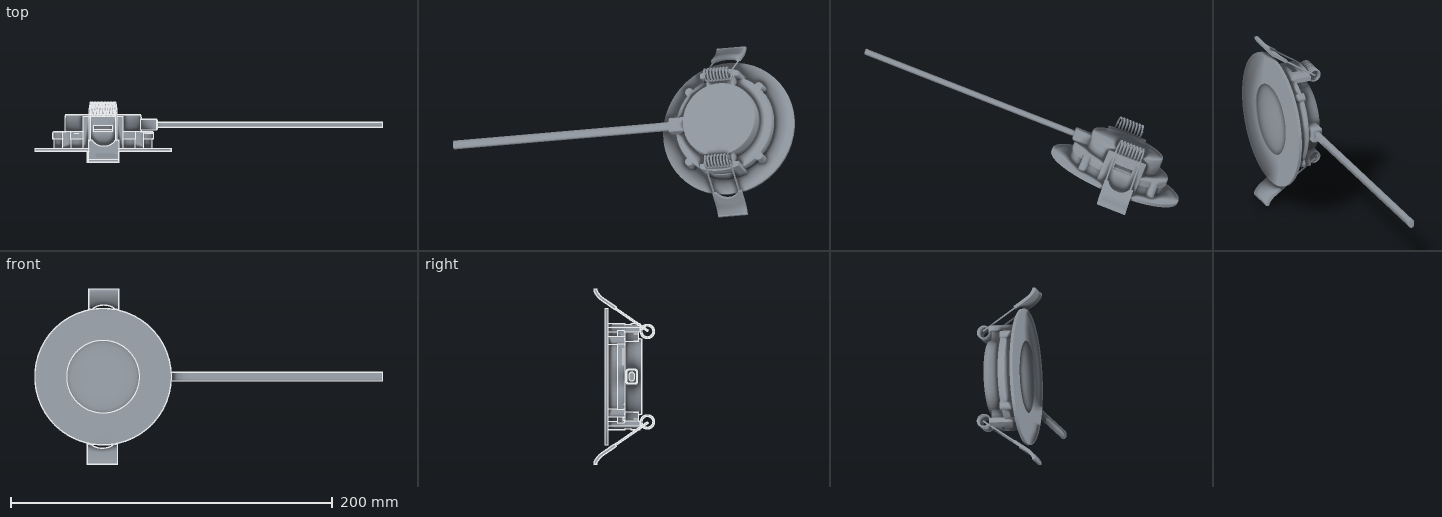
import cadquery as cq
import math


flange_diameter = 85.0
flange_thickness = 2.0
diffuser_diameter = 45.2
diffuser_recess = 1.2
diffuser_thickness = 2.2

skirt_radius = 30.5
skirt_back = 7.8
band_radius = 31.4
band_back = 12.3
band_round = 1.0
can_radius = 23.8
can_rim_radius = 23.4
can_shoulder = 21.0
can_back = 23.0

boss_radius = 2.5
boss_offset = 22.5

lug_outer_radius = 33.0
lug_inner_z = 27.7
lug_width = 24.9
lug_back = 21.8
lug_neck_width = 18.5
lug_slot_width = 12.0
lug_slot_front = 12.3
lug_slot_step = 13.6
lug_slot_back = 16.2
lug_slot_depth = 3.2
lug_slot_step_depth = 1.7
neck_groove_inner_z = 22.3
neck_groove_outer_z = 26.4
neck_groove_length = 3.0
neck_groove_depth = 0.6

cable_width = 5.6
cable_thickness = 3.2
cable_y = 16.6
total_length = 216.2
cable_end_x = total_length - flange_diameter / 2
gland_wall = 1.84
gland_round = 1.3
gland_end_chamfer = 0.6
gland_end_x = 33.7

wire_diameter = 1.0
coil_radius = 4.0
coil_y = 26.4
coil_z = 28.1
coil_turns = 8
coil_length = 16.5
arm_angle = 34.5
arm_offset = 0.5
pad_width = 18.8
pad_shift = 0.5
pad_thickness = 2.0
pad_tip_z = 54.5
pad_tip_length = 1.3
pad_bend_radius = 12.8
pad_bend_end_angle = 65
pad_tip_y = -5.8
pad_start = 24.5
pad_notch_radius = 7.8
pad_notch_depth = 4.8


def disc(radius, y_front, y_back):
    """Cylinder about the Y axis between two depths."""
    return cq.Workplane("XZ", origin=(0, y_front, 0)).circle(radius).extrude(y_front - y_back)


def box_between(x_range, y_range, z_range):
    """Axis-aligned box given by its limits along X, Y and Z."""
    corner = (x_range[0], y_range[0], z_range[0])
    size = (x_range[1] - x_range[0], y_range[1] - y_range[0], z_range[1] - z_range[0])
    return cq.Workplane("XY").box(*size, centered=False).translate(corner)


def centered_range(width):
    return (-width / 2, width / 2)


def half_turn(shape):
    """Copy turned to the opposite side of the lamp."""
    return shape.rotate((0, 0, 0), (0, 1, 0), 180)


slope = math.radians(arm_angle)
arm_direction = cq.Vector(0, -math.cos(slope), math.sin(slope))
arm_normal = cq.Vector(0, math.sin(slope), math.cos(slope))
coil_center = cq.Vector(0, coil_y, coil_z)
arm_places = centered_range(coil_length)


def arm_point(along):
    """Point on the arm line, measured along it from beside the coil axis."""
    return coil_center + arm_normal * arm_offset + arm_direction * along


def make_arm(x):
    """Straight wire from beside the coil axis into the pad."""
    length = pad_start + wire_diameter
    start = arm_point(0) + cq.Vector(x, 0, 0)
    return cq.Workplane(obj=cq.Solid.makeCylinder(wire_diameter / 2, length, start, arm_direction))


def make_lug():
    """Upper lug: a curved outer plate joined to the can by a narrower neck."""
    plate = disc(lug_outer_radius, 0, lug_back).intersect(
        box_between(centered_range(lug_width), (0, lug_back), (lug_inner_z, lug_outer_radius))
    )
    neck = box_between(centered_range(lug_neck_width), (0, can_shoulder), (0, lug_inner_z))
    return plate.union(neck)


def make_lug_cuts():
    """Stepped slot and arm recesses in the outer plate, and a run-out groove on each side of the neck."""
    slot_x = centered_range(lug_slot_width)
    deep_floor = lug_outer_radius - lug_slot_depth
    step_floor = lug_outer_radius - lug_slot_step_depth
    cuts = box_between(slot_x, (lug_slot_step, lug_slot_back), (deep_floor, lug_outer_radius))
    cuts = cuts.union(
        box_between(slot_x, (lug_slot_front, lug_slot_step), (step_floor, lug_outer_radius))
    )
    groove_radius = (neck_groove_length**2 + neck_groove_depth**2) / (2 * neck_groove_depth)
    groove_height = neck_groove_outer_z - neck_groove_inner_z
    for side in (-1, 1):
        outer_x = side * lug_neck_width / 2
        groove = (
            cq.Workplane("XY", origin=(0, 0, neck_groove_inner_z))
            .moveTo(outer_x, can_shoulder - neck_groove_length)
            .radiusArc((outer_x - side * neck_groove_depth, can_shoulder), -side * groove_radius)
            .lineTo(outer_x, can_shoulder)
            .close()
        )
        cuts = cuts.union(groove.extrude(groove_height))
    for x in arm_places:
        cuts = cuts.union(make_arm(x))
    return cuts


def make_gland():
    """Rounded sleeve around the cable where it leaves the can."""
    gland = (
        cq.Workplane("YZ", origin=(0, cable_y, 0))
        .rect(cable_thickness + 2 * gland_wall, cable_width + 2 * gland_wall)
        .extrude(gland_end_x)
    )
    return gland.edges("|X").fillet(gland_round).faces(">X").chamfer(gland_end_chamfer)


def make_cable():
    """Flat cable with round edges, starting at the can wall inside the gland."""
    return (
        cq.Workplane("YZ", origin=(can_radius, cable_y, 0))
        .slot2D(cable_width, cable_thickness, 90)
        .extrude(cable_end_x - can_radius)
    )


def make_diffuser():
    """Disc set back from the front of the flange."""
    return disc(diffuser_diameter / 2, diffuser_recess, diffuser_recess + diffuser_thickness)


def make_housing():
    """Flange, skirt, band, can, bosses, lugs and gland in one piece."""
    body = disc(flange_diameter / 2, 0, flange_thickness)
    body = body.union(disc(skirt_radius, 0, skirt_back))
    band = disc(band_radius, skirt_back, band_back).faces(">Y").edges().fillet(band_round)
    body = body.union(band)
    for x_side in (-1, 1):
        for z_side in (-1, 1):
            boss = disc(boss_radius, 0, band_back)
            body = body.union(boss.translate((x_side * boss_offset, 0, z_side * boss_offset)))

    can_profile = [
        (0, 0),
        (can_radius, 0),
        (can_radius, can_shoulder),
        (can_rim_radius, can_back),
        (0, can_back),
    ]
    can = cq.Workplane("XY").polyline(can_profile).close().revolve(360, (0, 0), (0, 1))
    body = body.union(can)

    lug = make_lug()
    lug_cuts = make_lug_cuts()
    body = body.union(lug).union(half_turn(lug)).cut(lug_cuts).cut(half_turn(lug_cuts))

    diffuser_seat = disc(diffuser_diameter / 2, 0, diffuser_recess + diffuser_thickness)
    return body.union(make_gland()).cut(make_cable()).cut(diffuser_seat)


def make_coil():
    """Helix along X whose two ends lie on the arms."""
    pitch = coil_length / coil_turns
    path = cq.Wire.makeHelix(pitch, coil_length, coil_radius)
    coil = (
        cq.Workplane("XZ", origin=(coil_radius, 0, 0))
        .circle(wire_diameter / 2)
        .sweep(cq.Workplane(obj=path), isFrenet=True)
    )
    crossing = math.degrees(math.asin(arm_offset / coil_radius))
    coil = coil.rotate((0, 0, 0), (0, 1, 0), 90)
    coil = coil.rotate((0, 0, 0), (1, 0, 0), 270 - arm_angle - crossing)
    return coil.translate((-coil_length / 2, coil_y, coil_z))


def make_pad():
    """Strip that follows the arms, bends to a straight tip and has a round notch at its root."""
    half = pad_thickness / 2
    end_angle = math.radians(pad_bend_end_angle)
    tip_base_z = pad_tip_z - pad_tip_length
    bend_y = pad_tip_y + pad_bend_radius * math.sin(end_angle)
    bend_z = tip_base_z + pad_bend_radius * math.cos(end_angle)

    def bend_point(radius, angle):
        return (bend_y - radius * math.sin(angle), bend_z - radius * math.cos(angle))

    inner = pad_bend_radius - half
    outer = pad_bend_radius + half
    middle_angle = (slope + end_angle) / 2
    bend_start = cq.Vector(0, *bend_point(pad_bend_radius, slope))
    straight_length = (bend_start - arm_point(pad_start)).dot(arm_direction)
    root = bend_start - arm_direction * straight_length
    root_front = root - arm_normal * half
    root_back = root + arm_normal * half
    pad = (
        cq.Workplane("YZ", origin=(pad_shift - pad_width / 2, 0, 0))
        .moveTo(root_front.y, root_front.z)
        .lineTo(*bend_point(outer, slope))
        .threePointArc(bend_point(outer, middle_angle), bend_point(outer, end_angle))
        .lineTo(pad_tip_y - half, tip_base_z)
        .lineTo(pad_tip_y - half, pad_tip_z)
        .lineTo(pad_tip_y + half, pad_tip_z)
        .lineTo(*bend_point(inner, end_angle))
        .threePointArc(bend_point(inner, middle_angle), bend_point(inner, slope))
        .lineTo(root_back.y, root_back.z)
        .close()
        .extrude(pad_width)
    )
    notch_center = root + arm_direction * (pad_notch_depth - pad_notch_radius)
    notch_base = notch_center - arm_normal * pad_thickness + cq.Vector(pad_shift, 0, 0)
    notch = cq.Solid.makeCylinder(pad_notch_radius, 2 * pad_thickness, notch_base, arm_normal)
    return pad.cut(cq.Workplane(obj=notch))


def make_clip():
    """Upper spring clip in one piece."""
    clip = make_coil()
    for x in arm_places:
        clip = clip.union(make_arm(x))
    return clip.union(make_pad())


housing = make_housing()
diffuser = make_diffuser()
cable = make_cable()
clips = []
for turn in (0, 180):
    clips.append(make_clip().rotate((0, 0, 0), (0, 1, 0), turn))

bodies = [housing, diffuser, cable, *clips]
result = cq.Compound.makeCompound([body.solids().val() for body in bodies])